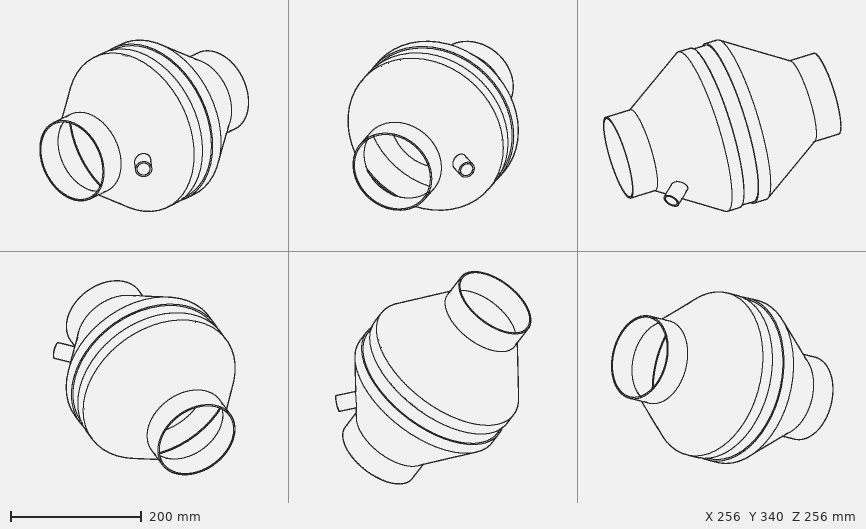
import cadquery as cq
import math

half_length = 170.0
spigot_length = 40.0
collar_outer_end = 31.5
collar_inner_end = 12.0

collar_radius = 256.0 / 2
belt_radius = 251.0 / 2
belt_bore_radius = 246.0 / 2
spigot_radius = 130.0 / 2
spigot_bore_radius = 125.0 / 2

dome_radius = 79.2
dome_base_y = 35.7

tube_diameter = 25.0
tube_bore_diameter = 20.0
tube_end_x = 103.5
tube_end_y = -121.7
tube_angle = 46.5

cone_end = half_length - spigot_length


def revolve_about_y(profile):
    return profile.close().revolve(360, (0, 0, 0), (0, 1, 0))


def solid_of_revolution(points):
    return revolve_about_y(cq.Workplane("XY").polyline(points))


def mirrored_outline(half_outline):
    """Extend (radius, y) points on the +Y side to both sides, closed along the axis."""
    other_half = [(radius, -y) for radius, y in reversed(half_outline)]
    return [(0, half_outline[0][1])] + half_outline + other_half + [(0, -half_outline[0][1])]


def make_outer_body():
    return solid_of_revolution(mirrored_outline([
        (spigot_radius, half_length),
        (spigot_radius, cone_end),
        (collar_radius, collar_outer_end),
        (collar_radius, collar_inner_end),
        (belt_radius, collar_inner_end),
    ]))


def make_cavity():
    return solid_of_revolution(mirrored_outline([
        (spigot_bore_radius, half_length),
        (spigot_bore_radius, cone_end),
        (belt_radius, collar_outer_end),
        (belt_bore_radius, collar_outer_end),
    ]))


def make_dome():
    mid_offset = dome_radius * math.sqrt(0.5)
    apex_y = dome_base_y - dome_radius
    profile = (
        cq.Workplane("XY")
        .moveTo(0, dome_base_y)
        .lineTo(dome_radius, dome_base_y)
        .threePointArc((mid_offset, dome_base_y - mid_offset), (0, apex_y))
    )
    return revolve_about_y(profile)


def make_tube_rod(diameter):
    """Round rod from the outer tube end to the plane Y = 0, inside the core."""
    slant = math.radians(tube_angle)
    inward = cq.Vector(-math.cos(slant), math.sin(slant), 0)
    rod_length = -tube_end_y / math.sin(slant)
    end_center = cq.Vector(tube_end_x, tube_end_y, 0)
    return cq.Workplane(cq.Solid.makeCylinder(diameter / 2, rod_length, end_center, inward))


dome = make_dome()
housing = make_outer_body().cut(make_cavity())
tube_bore = make_tube_rod(tube_bore_diameter).cut(dome)

result = housing.union(dome).union(make_tube_rod(tube_diameter)).cut(tube_bore)